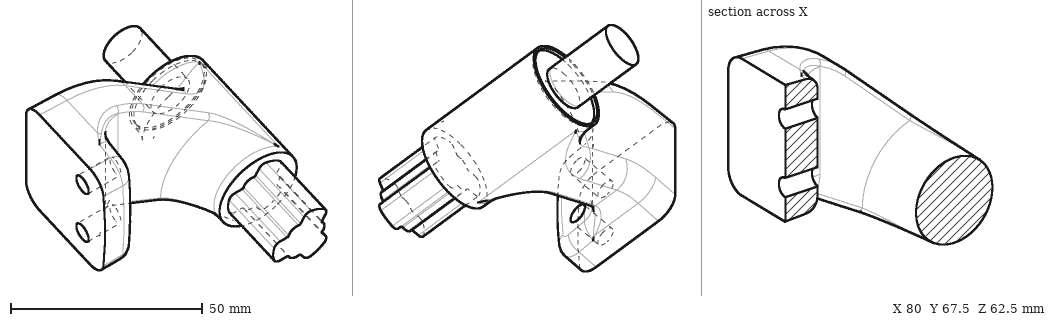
import cadquery as cq
import math


barrel_radius = 12.5
barrel_half_length = 20
recess_radius = 11.75
recess_depth = 1
shaft_radius = 6.25
shaft_length = 20

arm_half_width = 7.5
flare_radius = 10
upper_slope = 42.4
lower_slope = 30.3
upper_bend_radius = 30
lower_bend_radius = 15
left_edge_round = 6
right_edge_round = 1.5

plate_face_y = -55
plate_top_z = 50
plate_bottom_z = 10
plate_right_x = 27.5
plate_back_y = -44.4
plate_back_tilt = 4
plate_draft = 2.5
plate_bulge_radius = 150
plate_corner_radius = 6
plate_back_round = 4
plate_inner_radius = 8
hole_diameter = 5.5
hole_x = 17.5
hole_pitch = 20

drive_length = 20
lobe_count = 3
lobe_half_width = 4
lobe_corner_radius = 2
lobe_tip_radius = 9.75
ridge_offset = 4.2
ridge_radius = 2.7
drive_root_fillet = 0.6

flare_half_length = arm_half_width + flare_radius
flare_outer_radius = barrel_radius + flare_radius
plate_middle_z = (plate_top_z + plate_bottom_z) / 2
draft_slope = math.tan(math.radians(plate_draft))
tilt_slope = math.tan(math.radians(plate_back_tilt))
margin = 5
tall = 200
x_axis = ((0, 0, 0), (1, 0, 0))


def tangent_point(slope, side):
    """Point (y, z) where a sloping edge of the arm leaves the barrel; side is +1 above, -1 below."""
    angle = math.radians(slope)
    return (side * barrel_radius * math.sin(angle), side * barrel_radius * math.cos(angle))


def along_slope(slope, side, distance):
    """Point (y, z) on a sloping edge of the arm, at a distance from its tangent point."""
    angle = math.radians(slope)
    y, z = tangent_point(slope, side)
    return (y - distance * math.cos(angle), z + distance * math.sin(angle))


def drafted_z(edge_z, side, y):
    """Height of the drafted top (side +1) or bottom (side -1) of the plate at a given y."""
    return edge_z - side * draft_slope * (y - plate_face_y)


def bend_distance(slope, side, edge_z):
    """Distance along the sloping edge to where it meets the drafted plane of the plate."""
    angle = math.radians(slope)
    y, z = tangent_point(slope, side)
    rise = math.sin(angle) - side * draft_slope * math.cos(angle)
    return (drafted_z(edge_z, side, y) - z) / rise


upper_bend_distance = bend_distance(upper_slope, 1, plate_top_z)
lower_bend_distance = bend_distance(lower_slope, -1, plate_bottom_z)


def side_profile(x_min, x_max):
    """Bent side outline of arm and plate, tangent to the barrel, extruded along X."""
    upper_bend = along_slope(upper_slope, 1, upper_bend_distance)
    lower_bend = along_slope(lower_slope, -1, lower_bend_distance)
    upper_start = tangent_point(upper_slope, 1)
    body = (
        cq.Workplane("YZ", origin=(x_min, 0, 0))
        .moveTo(*upper_start)
        .lineTo(*upper_bend)
        .lineTo(plate_face_y, plate_top_z)
        .lineTo(plate_face_y, plate_bottom_z)
        .lineTo(*lower_bend)
        .lineTo(*tangent_point(lower_slope, -1))
        .threePointArc((barrel_radius, 0), upper_start)
        .close()
        .extrude(x_max - x_min)
    )
    x_middle = (x_min + x_max) / 2
    for (y, z), radius in ((upper_bend, upper_bend_radius), (lower_bend, lower_bend_radius)):
        bend_edge = cq.selectors.NearestToPointSelector((x_middle, y, z))
        body = body.edges("|X").edges(bend_edge).fillet(radius)
    return body


def plate_block():
    """Plate with drafted top and bottom, tilted back, bulged right side and rounded edges."""
    front_y = plate_face_y - margin
    deep_y = plate_back_y + 3 * margin
    outline = (
        cq.Workplane("YZ", origin=(-arm_half_width, 0, 0))
        .polyline([
            (front_y, drafted_z(plate_top_z, 1, front_y)),
            (front_y, drafted_z(plate_bottom_z, -1, front_y)),
            (deep_y, drafted_z(plate_bottom_z, -1, deep_y)),
            (deep_y, drafted_z(plate_top_z, 1, deep_y)),
        ])
        .close()
        .extrude(plate_right_x + arm_half_width)
    )
    plan = (
        cq.Workplane("XY")
        .polyline([
            (-arm_half_width, front_y),
            (plate_right_x, front_y),
            (plate_right_x, plate_back_y - tilt_slope * (plate_right_x - hole_x)),
            (-arm_half_width, plate_back_y + tilt_slope * (hole_x + arm_half_width)),
        ])
        .close()
        .extrude(tall)
    )
    bulge = (
        cq.Workplane("XZ", origin=(plate_right_x - plate_bulge_radius, 0, plate_middle_z))
        .circle(plate_bulge_radius)
        .extrude(tall, both=True)
    )
    block = outline.intersect(plan).intersect(bulge)
    middle_y = (front_y + plate_back_y) / 2
    for z in (plate_top_z, plate_bottom_z):
        corner = cq.selectors.NearestToPointSelector((plate_right_x, middle_y, z))
        block = block.edges(corner).fillet(plate_corner_radius)
    back_edge = cq.selectors.NearestToPointSelector((plate_right_x, plate_back_y, plate_middle_z))
    return block.edges(back_edge).fillet(plate_back_round)


def arm_and_plate():
    """Arm wall blended into the back of the plate, trimmed to the side outline."""
    wall_start_y = plate_face_y - margin
    wall = cq.Workplane("XY").box(2 * arm_half_width, tall, tall)
    wall = wall.translate((0, wall_start_y + tall / 2, 0))
    inner_seam = cq.selectors.NearestToPointSelector((arm_half_width, plate_back_y, plate_middle_z))
    blended = wall.union(plate_block()).edges(inner_seam).fillet(plate_inner_radius)
    return blended.intersect(side_profile(-flare_half_length, plate_right_x + margin))


def flare():
    """Concave flare that widens the arm to meet the barrel."""
    return (
        cq.Workplane("XY")
        .moveTo(-flare_half_length, 0)
        .lineTo(-flare_half_length, barrel_radius)
        .radiusArc((-arm_half_width, flare_outer_radius), -flare_radius)
        .lineTo(arm_half_width, flare_outer_radius)
        .radiusArc((flare_half_length, barrel_radius), -flare_radius)
        .lineTo(flare_half_length, 0)
        .close()
        .revolve(360, *x_axis)
        .intersect(side_profile(-flare_half_length, flare_half_length))
    )


def round_arm_edges(body):
    """Round the long edges of the arm; each round runs on into the flare and the plate."""
    flare_reach = math.sqrt(flare_outer_radius ** 2 - barrel_radius ** 2)
    for x, radius in ((-arm_half_width, left_edge_round), (arm_half_width, right_edge_round)):
        for slope, side, bend, bend_radius in (
            (upper_slope, 1, upper_bend_distance, upper_bend_radius),
            (lower_slope, -1, lower_bend_distance, lower_bend_radius),
        ):
            turn = math.radians(slope - side * plate_draft)
            straight_end = bend - bend_radius * math.tan(turn / 2)
            y, z = along_slope(slope, side, (flare_reach + straight_end) / 2)
            edge = cq.selectors.NearestToPointSelector((x, y, z))
            body = body.edges(edge).fillet(radius)
    return body


def collar(direction):
    """Round end of the barrel beyond the flare; direction is +1 for the +X end, -1 for the -X end."""
    return (
        cq.Workplane("YZ", origin=(direction * flare_half_length, 0, 0))
        .circle(barrel_radius)
        .extrude(direction * (barrel_half_length - flare_half_length))
    )


def recessed_collar_and_shaft():
    """Collar on the -X end with a shallow recess around a plain round shaft."""
    end = cq.Workplane("YZ", origin=(-barrel_half_length, 0, 0))
    recess = end.circle(recess_radius).circle(shaft_radius).extrude(recess_depth)
    shaft = end.circle(shaft_radius).extrude(-shaft_length)
    return collar(-1).cut(recess).union(shaft)


def drive_shaft():
    """Three rounded lobes with a round ridge in each valley; the first lobe points to -Y."""
    base = cq.Workplane("YZ", origin=(barrel_half_length, 0, 0))
    corner_v = lobe_half_width - lobe_corner_radius
    centre_distance = lobe_tip_radius - lobe_corner_radius
    corner_u = math.sqrt(centre_distance ** 2 - corner_v ** 2)
    tip_u = corner_u * lobe_tip_radius / centre_distance
    tip_v = corner_v * lobe_tip_radius / centre_distance
    lobe = (
        base.moveTo(0, -lobe_half_width)
        .lineTo(-corner_u, -lobe_half_width)
        .radiusArc((-tip_u, -tip_v), lobe_corner_radius)
        .threePointArc((-lobe_tip_radius, 0), (-tip_u, tip_v))
        .radiusArc((-corner_u, lobe_half_width), lobe_corner_radius)
        .lineTo(0, lobe_half_width)
        .close()
        .extrude(drive_length)
    )
    ridge = base.center(ridge_offset, 0).circle(ridge_radius).extrude(drive_length)
    body = lobe.union(ridge)
    for i in range(1, lobe_count):
        turn = i * 360 / lobe_count
        body = body.union(lobe.rotate(*x_axis, turn)).union(ridge.rotate(*x_axis, turn))

    half_step = math.pi / lobe_count
    ridge_u = ridge_offset * math.cos(half_step)
    ridge_v = ridge_offset * math.sin(half_step)
    root_u = ridge_u + math.sqrt(ridge_radius ** 2 - (lobe_half_width - ridge_v) ** 2)
    for i in range(lobe_count):
        angle = 2 * half_step * i
        for v in (-lobe_half_width, lobe_half_width):
            y = -root_u * math.cos(angle) - v * math.sin(angle)
            z = v * math.cos(angle) - root_u * math.sin(angle)
            corner = cq.selectors.NearestToPointSelector((barrel_half_length + drive_length / 2, y, z))
            body = body.edges("|X").edges(corner).fillet(drive_root_fillet)
    return body


def plate_holes():
    """Two holes through the plate along Y."""
    return (
        cq.Workplane("XZ", origin=(hole_x, plate_face_y, plate_middle_z))
        .pushPoints([(0, -hole_pitch / 2), (0, hole_pitch / 2)])
        .circle(hole_diameter / 2)
        .extrude(plate_face_y)
    )


bracket = round_arm_edges(arm_and_plate().union(flare())).cut(plate_holes())
result = bracket.union(recessed_collar_and_shaft()).union(collar(1)).union(drive_shaft())